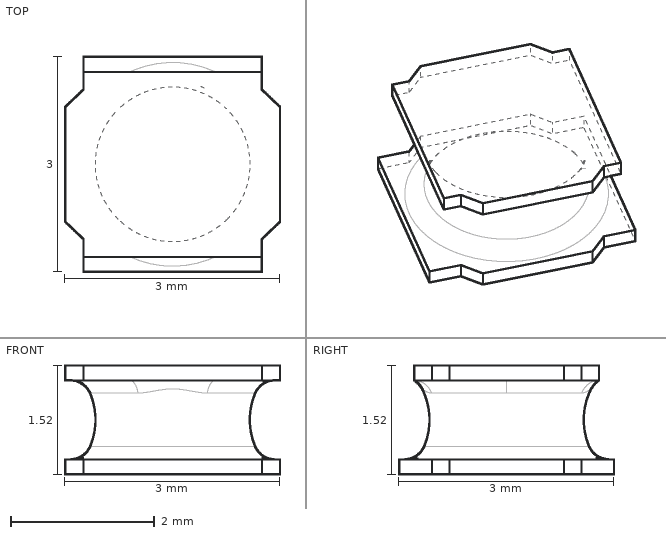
import cadquery as cq
import math

length = 3.0
height = 1.52
plate_thickness = 0.21
bottom_plate_width = length
top_plate_width = 2.58

middle_block_length = 2.49
step_width = 2.085
end_face_width = 1.6

waist_radius = 1.077
waist_arc_radius = 0.96
blend_radius = 0.29

half_gap = height / 2 - plate_thickness


def make_plate(width, base_height):
    """Plate of the given Y width with its underside at base_height."""
    back_right = [
        (middle_block_length / 2, width / 2),
        (middle_block_length / 2, step_width / 2),
        (length / 2, end_face_width / 2),
    ]
    right_half = back_right + [(x, -y) for x, y in reversed(back_right)]
    left_half = [(-x, -y) for x, y in right_half]
    return (
        cq.Workplane("XY", origin=(0, 0, base_height))
        .polyline(right_half + left_half)
        .close()
        .extrude(plate_thickness)
    )


def make_core():
    """Round core that is narrowest at mid-height and fills the gap between the plates."""
    arc_center_radius = waist_radius + waist_arc_radius
    core_end_radius = arc_center_radius - math.sqrt(waist_arc_radius**2 - half_gap**2)
    return (
        cq.Workplane("XZ")
        .moveTo(0, -half_gap)
        .lineTo(core_end_radius, -half_gap)
        .threePointArc((waist_radius, 0), (core_end_radius, half_gap))
        .lineTo(0, half_gap)
        .close()
        .revolve(360, (0, 0, 0), (0, 1, 0))
    )


bottom_plate = make_plate(bottom_plate_width, -height / 2)
top_plate = make_plate(top_plate_width, half_gap)
spool = bottom_plate.union(make_core()).union(top_plate)

result = spool.edges("%CIRCLE").fillet(blend_radius)